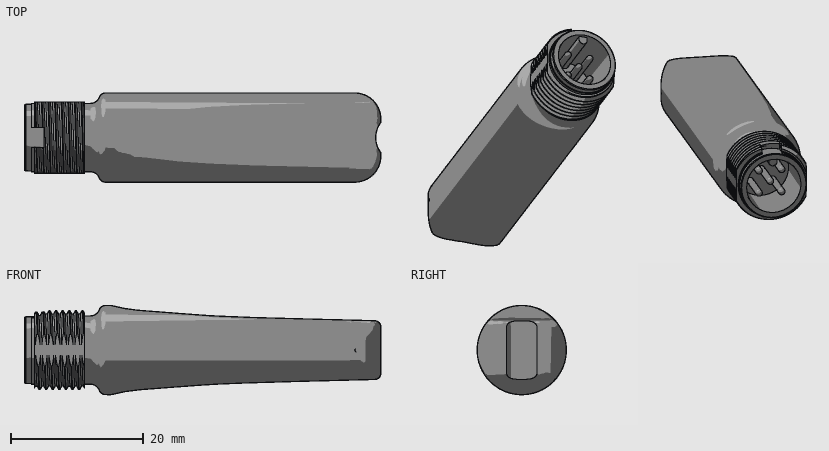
import cadquery as cq
import math


total_length = 54.0
body_radius = 6.775
collar_start = 11.3
collar_end = 12.3
end_round = 4.0

neck_radius = 5.2
neck_flare_start = 10.0

nose_radius = 5.07
nose_end = 1.05
nose_chamfer_length = 0.2
nose_chamfer_depth = 0.1

thread_start = 1.5
thread_end = 9.07
thread_major_radius = 6.0
thread_root_radius = 5.48
thread_pitch = 1.0
thread_half_angle = 30.0
thread_crest_width = thread_pitch / 8
thread_overlap = 0.05
thread_top_crest = 1.78
thread_flat_distance = 5.42
thread_run_out = thread_pitch

notch_width = 3.06
notch_end = 2.95

bore_radius = 4.2
bore_depth = 9.0
key_radius = 0.65
key_center_height = 3.65
key_start = 0.6
pin_radius = 0.5
pin_tip_round = 0.48
pin_tip = 2.0
pin_offset = 1.75

grip_curve = [
    (12.6, 6.94),
    (15.2, 6.31),
    (20.4, 5.81),
    (25.6, 5.39),
    (36.0, 4.9),
    (56.0, 4.36),
]
grip_edge_fillet = 1.0
cutter_margin = 2.0

scoop_half_width = 2.3
scoop_depth = 0.78


def along_x(radius, start, end, y=0, z=0):
    """Solid cylinder parallel to X between two stations."""
    return cq.Workplane("YZ", origin=(start, y, z)).circle(radius).extrude(end - start)


def box_between(x_range, y_range, z_range):
    """Axis-aligned box from its limits."""
    sizes = [high - low for low, high in (x_range, y_range, z_range)]
    corner = (x_range[0], y_range[0], z_range[0])
    return cq.Workplane().box(*sizes, centered=False).translate(corner)


def make_body():
    """Turned grip with its collar, flared neck and rounded blade end."""
    rise_per_length = (body_radius - neck_radius) / (collar_end - neck_flare_start)
    junction_radius = neck_radius + rise_per_length * (collar_start - neck_flare_start)
    profile = (
        cq.Workplane("XZ")
        .moveTo(thread_end, 0)
        .lineTo(thread_end, neck_radius)
        .lineTo(neck_flare_start, neck_radius)
        .tangentArcPoint((collar_start, junction_radius), relative=False)
        .tangentArcPoint((collar_end, body_radius), relative=False)
        .lineTo(total_length, body_radius)
        .lineTo(total_length, 0)
        .close()
    )
    body = profile.revolve(360, (0, 0, 0), (1, 0, 0))
    plan = (
        box_between((0, total_length), (-body_radius, body_radius), (-body_radius, body_radius))
        .edges("|Z and >X")
        .fillet(end_round)
    )
    return body.intersect(plan)


def grip_face_cutter():
    """Cutter above the upper concave grip face, wider than the body."""
    top = body_radius + cutter_margin
    return (
        cq.Workplane("XZ", origin=(0, top, 0))
        .moveTo(*grip_curve[0])
        .spline(grip_curve[1:], includeCurrent=True)
        .lineTo(grip_curve[-1][0], top)
        .lineTo(grip_curve[0][0], top)
        .close()
        .extrude(2 * top)
    )


def shape_grip(body):
    """Cut both grip faces and round their outlines."""
    cutter = grip_face_cutter()
    face_center_tolerance = 0.1
    entry_start, entry_half_height = grip_curve[0]
    cutter_end, end_half_height = grip_curve[-1]
    for side_cutter in (cutter, cutter.mirror("XY")):
        body = body.cut(side_cutter)
    crescent_box = cq.selectors.BoxSelector(
        (total_length - end_round, -body_radius, -body_radius),
        (total_length - end_round / 2, body_radius, body_radius),
    )
    rounded_edges = body.edges(crescent_box).vals()
    for side in (-1, 1):
        face_box = cq.selectors.BoxSelector(
            (entry_start, -face_center_tolerance, side * end_half_height / 2),
            (cutter_end, face_center_tolerance, side * entry_half_height),
        )
        outline = body.faces(face_box).edges("(not |Y) or >X")
        rounded_edges += outline.vals()
    return body.newObject(rounded_edges).fillet(grip_edge_fillet)


def scoop_end(body):
    """Shallow cylindrical groove across the grip end, running along Z."""
    scoop_radius = (scoop_half_width**2 + scoop_depth**2) / (2 * scoop_depth)
    scoop_center = total_length - scoop_depth + scoop_radius
    scoop = (
        cq.Workplane("XY", origin=(scoop_center, 0, -body_radius))
        .circle(scoop_radius)
        .extrude(2 * body_radius)
    )
    return body.cut(scoop)


def make_nose():
    """Chamfered nose tube, continuing inside the thread."""
    nose = along_x(nose_radius, 0, thread_end)
    return nose.faces("<X").chamfer(nose_chamfer_length, nose_chamfer_depth)


def make_thread():
    """Right-hand thread along X, cut square at both ends and flat on both Y sides."""
    core = along_x(thread_root_radius, thread_start, thread_end)
    turns_before = math.ceil((thread_top_crest - thread_start + thread_run_out) / thread_pitch)
    helix_start = thread_top_crest - turns_before * thread_pitch
    helix_length = thread_end + thread_run_out - helix_start
    inner_radius = thread_root_radius - thread_overlap
    depth = thread_major_radius - inner_radius
    half_crest = thread_crest_width / 2
    half_base = half_crest + depth * math.tan(math.radians(thread_half_angle))
    helix = cq.Wire.makeHelix(thread_pitch, helix_length, inner_radius)
    ridge = (
        cq.Workplane("XZ")
        .moveTo(inner_radius, -half_base)
        .lineTo(thread_major_radius, -half_crest)
        .lineTo(thread_major_radius, half_crest)
        .lineTo(inner_radius, half_base)
        .close()
        .sweep(cq.Workplane(helix), isFrenet=True)
        .rotate((0, 0, 0), (0, 1, 0), 90)
        .rotate((0, 0, 0), (1, 0, 0), 180)
        .translate((helix_start, 0, 0))
    )
    envelope = box_between(
        (thread_start, thread_end),
        (-thread_flat_distance, thread_flat_distance),
        (-body_radius, body_radius),
    )
    return core.union(ridge.intersect(envelope)).intersect(envelope)


def make_sleeve():
    """Plain collar and thread around the nose, with the key notch at +Z."""
    sleeve = along_x(neck_radius, nose_end, thread_start).union(make_thread())
    notch = box_between(
        (nose_end, notch_end), (-notch_width / 2, notch_width / 2), (0, body_radius)
    )
    return sleeve.cut(notch)


def cut_socket(connector):
    """Bore the socket, leaving the polarizing key on its wall."""
    key = along_x(key_radius, key_start, bore_depth, z=key_center_height)
    key_root = box_between(
        (key_start, bore_depth), (-key_radius, key_radius), (key_center_height, bore_radius)
    )
    bore = along_x(bore_radius, 0, bore_depth)
    return connector.cut(bore.cut(key).cut(key_root))


def add_pins(connector):
    """Four contacts on a square and one in the center, with rounded tips."""
    square = [(y, z) for y in (-pin_offset, pin_offset) for z in (-pin_offset, pin_offset)]
    for y, z in square + [(0, 0)]:
        pin = along_x(pin_radius, pin_tip, bore_depth + 2 * pin_radius, y, z)
        connector = connector.union(pin.faces("<X").edges().fillet(pin_tip_round))
    return connector


grip = scoop_end(shape_grip(make_body()))
connector = make_sleeve().union(make_nose()).union(grip)
result = add_pins(cut_socket(connector))